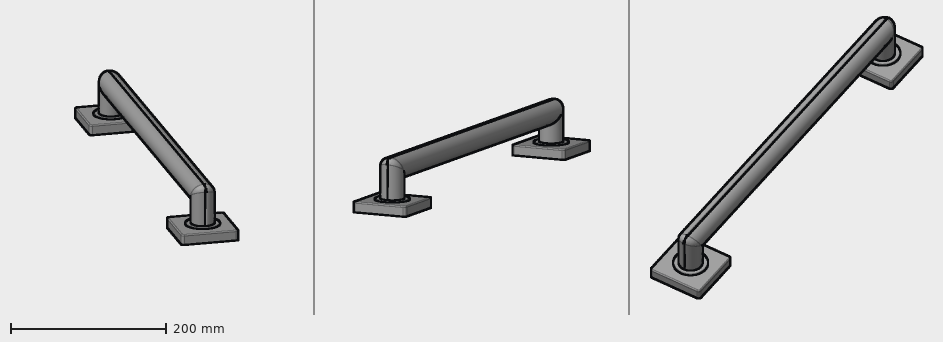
import cadquery as cq

overall_length = 533.5
overall_height = 70.0

plate_side = 76.5
plate_height = 14.0
plate_corner_radius = 4.0
plate_top_fillet = 1.5

collar_diameter = 45.5
collar_height = 1.5
collar_fillet = 1.0

bar_diameter = 31.5
elbow_fillet = 8.0

bar_radius = bar_diameter / 2
post_offset = (overall_length - plate_side) / 2
rail_height = overall_height - bar_radius


def make_plate():
    """Square plate with rounded corners, a softened top rim and a collar."""
    plate = (
        cq.Workplane("XY")
        .rect(plate_side, plate_side)
        .extrude(plate_height)
        .edges("|Z")
        .fillet(plate_corner_radius)
        .faces(">Z")
        .edges()
        .fillet(plate_top_fillet)
    )
    collar = (
        cq.Workplane("XY")
        .circle(collar_diameter / 2)
        .extrude(plate_height + collar_height)
        .faces(">Z")
        .edges()
        .fillet(collar_fillet)
    )
    return plate.union(collar)


def make_post(top):
    """Vertical bar standing on the base plane."""
    return cq.Workplane("XY").center(-post_offset, 0).circle(bar_radius).extrude(top)


def make_rail(start, end):
    """Horizontal bar between two X positions."""
    return (
        cq.Workplane("YZ", origin=(start, 0, rail_height))
        .circle(bar_radius)
        .extrude(end - start)
    )


def make_corner_wedge(tip):
    """Triangular prism from the elbow centre to the outer corner and to a second tip."""
    centre = (-post_offset, rail_height)
    outer_corner = (-post_offset - bar_radius, rail_height + bar_radius)
    return (
        cq.Workplane("XZ")
        .polyline([centre, outer_corner, tip])
        .close()
        .extrude(bar_diameter, both=True)
    )


def make_elbow_corner():
    """Outer quarter of the elbow, where post and rail are mitred and the mitre edge is rounded."""
    post_end = make_post(overall_height).intersect(
        make_corner_wedge((-post_offset - bar_radius, rail_height))
    )
    rail_end = make_rail(-post_offset - bar_radius, -post_offset).intersect(
        make_corner_wedge((-post_offset, overall_height))
    )
    return post_end.union(rail_end).edges("%ELLIPSE").fillet(elbow_fillet)


left_half = (
    make_post(rail_height)
    .union(make_rail(-post_offset, 0))
    .union(make_elbow_corner())
    .union(make_plate().translate((-post_offset, 0, 0)))
)
result = left_half.union(left_half.mirror("YZ"))